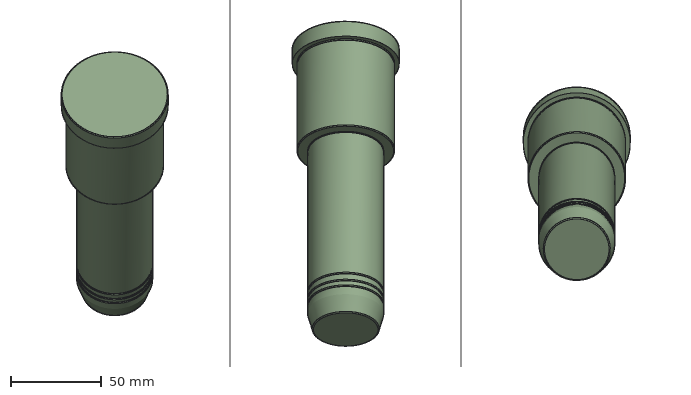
import cadquery as cq
import math

total_length = 181.0
head_diameter = 59.0
head_height = 10.0
sleeve_diameter = 54.0
sleeve_bottom_depth = 66.0
shank_diameter = 42.0

taper_height = 10.0
taper_angle = 15.0
tip_chamfer = 0.5

head_chamfer = 0.5
sleeve_chamfer = 0.5
head_relief_width = 1.0
sleeve_relief_width = 0.7
ring_groove_width = 1.0
ring_groove_heights = (15.5, 19.2, 23.7)

head_bottom = total_length - head_height
sleeve_bottom = total_length - sleeve_bottom_depth
tip_diameter = shank_diameter - 2 * taper_height * math.tan(math.radians(taper_angle))


def cylinder(diameter, bottom, top):
    """Cylinder about the Z axis between two heights."""
    return cq.Workplane("XY").workplane(offset=bottom).circle(diameter / 2).extrude(top - bottom)


def vee_groove(diameter, center_height, width):
    """Ring that cuts a 90 degree V groove into a cylinder of the given diameter."""
    radius = diameter / 2
    half_width = width / 2
    return (
        cq.Workplane("XZ")
        .moveTo(radius, center_height - half_width)
        .lineTo(radius - half_width, center_height)
        .lineTo(radius, center_height + half_width)
        .close()
        .revolve(360, (0, 0, 0), (0, 1, 0))
    )


head = cylinder(head_diameter, head_bottom, total_length).faces(">Z").edges().chamfer(head_chamfer)

sleeve = cylinder(sleeve_diameter, sleeve_bottom, head_bottom).faces("<Z").edges().chamfer(sleeve_chamfer)
sleeve = sleeve.cut(
    vee_groove(sleeve_diameter, head_bottom - head_relief_width / 2, head_relief_width)
)

shank = cylinder(shank_diameter, taper_height, sleeve_bottom)
shank = shank.cut(
    vee_groove(shank_diameter, sleeve_bottom - sleeve_relief_width / 2, sleeve_relief_width)
)
for height in ring_groove_heights:
    shank = shank.cut(vee_groove(shank_diameter, height, ring_groove_width))

lead_in = (
    cq.Workplane("XY")
    .circle(tip_diameter / 2)
    .workplane(offset=taper_height)
    .circle(shank_diameter / 2)
    .loft()
    .faces("<Z")
    .edges()
    .chamfer(tip_chamfer)
)

result = head.union(sleeve).union(shank).union(lead_in)